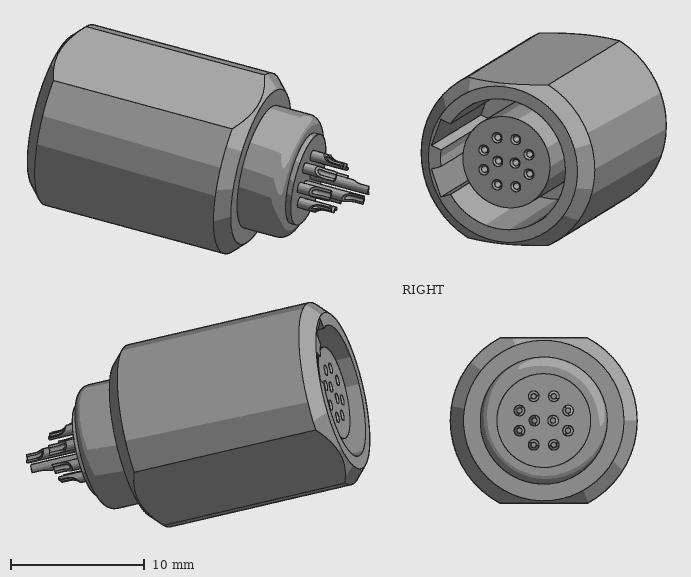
import cadquery as cq
import math

TOTAL_LENGTH = 24.9

SHELL_RADIUS = 7.0
SHELL_LENGTH = 16.4
SHELL_CHAMFER = 1.0
ACROSS_FLATS = 12.4

COLLAR_RADIUS = 4.75
COLLAR_END = 19.82
COLLAR_FILLET = 0.8
DISC_END = 20.25

CAVITY_RADIUS = 5.03
CAVITY_DEPTH = 9.95
INSERT_RADIUS = 3.5
INSERT_RECESS = 0.7

KEYWAY_ANGLE = 20.0
KEYWAY_WIDTH = 2.22
KEYWAY_FLOOR = 5.73

OUTER_COUNT = 8
OUTER_RING_RADIUS = 1.97
INNER_RING_RADIUS = 0.7
OUTER_STEP = 360.0 / OUTER_COUNT
OUTER_ANGLES = [(i + 0.5) * OUTER_STEP for i in range(OUTER_COUNT)]
INNER_ANGLES = [0.0, 180.0]

SOCKET_RADIUS = 0.25
SOCKET_DEPTH = 4.98
SOCKET_MOUTH_RADIUS = 0.4
SOCKET_MOUTH_DEPTH = SOCKET_MOUTH_RADIUS - SOCKET_RADIUS

PIN_RADIUS = 0.4
OUTER_PIN_END = 22.7
CUP_BORE_RADIUS = 0.2
CUP_LENGTH = 1.52
CUP_FLAT_LENGTH = 0.65
CUP_DROP = 0.07


def rod(radius, start, end):
    """Cylinder on the X axis between two X positions."""
    return cq.Workplane("YZ", origin=(start, 0, 0)).circle(radius).extrude(end - start)


def place(shape, ring_radius, angle):
    """Move a shape from the X axis to a ring; angle is measured from +Y towards +Z."""
    return shape.translate((0, ring_radius, 0)).rotate((0, 0, 0), (1, 0, 0), angle)


def make_shell():
    shell = rod(SHELL_RADIUS, 0, SHELL_LENGTH).edges().chamfer(SHELL_CHAMFER)
    flats = cq.Workplane("XY").box(
        SHELL_LENGTH, 2 * SHELL_RADIUS, ACROSS_FLATS, centered=(False, True, True)
    )
    return shell.intersect(flats)


def make_rear():
    collar = rod(COLLAR_RADIUS, CAVITY_DEPTH, COLLAR_END).faces(">X").edges().fillet(COLLAR_FILLET)
    return collar.union(rod(INSERT_RADIUS, CAVITY_DEPTH, DISC_END))


def make_cavity():
    cavity = rod(CAVITY_RADIUS, 0, CAVITY_DEPTH)
    keyway = cq.Workplane("XY").box(
        CAVITY_DEPTH, KEYWAY_FLOOR, KEYWAY_WIDTH, centered=(False, False, True)
    )
    for angle in (-KEYWAY_ANGLE, KEYWAY_ANGLE):
        cavity = cavity.union(place(keyway, 0, angle))
    return cavity.cut(rod(INSERT_RADIUS, INSERT_RECESS, CAVITY_DEPTH))


def make_socket():
    """Countersunk hole to remove from the insert face."""
    mouth_floor = INSERT_RECESS + SOCKET_MOUTH_DEPTH
    hole_floor = INSERT_RECESS + SOCKET_DEPTH
    return (
        cq.Workplane("XY")
        .moveTo(INSERT_RECESS, 0)
        .lineTo(INSERT_RECESS, SOCKET_MOUTH_RADIUS)
        .lineTo(mouth_floor, SOCKET_RADIUS)
        .lineTo(hole_floor, SOCKET_RADIUS)
        .lineTo(hole_floor, 0)
        .close()
        .revolve(360, (0, 0, 0), (1, 0, 0))
    )


def make_pin(end):
    """Pin on the X axis with a solder cup open towards +Y."""
    cut_start = end - CUP_LENGTH
    flat_start = end - CUP_FLAT_LENGTH
    run = flat_start - cut_start
    rise = PIN_RADIUS + CUP_DROP
    arc_radius = (run**2 + rise**2) / (2 * rise)
    half_sweep = math.asin(run / arc_radius) / 2
    arc_middle = (
        flat_start - arc_radius * math.sin(half_sweep),
        -CUP_DROP + arc_radius * (1 - math.cos(half_sweep)),
    )
    opening = (
        cq.Workplane("XY")
        .moveTo(cut_start, PIN_RADIUS)
        .threePointArc(arc_middle, (flat_start, -CUP_DROP))
        .lineTo(end, -CUP_DROP)
        .lineTo(end, PIN_RADIUS)
        .close()
        .extrude(PIN_RADIUS, both=True)
    )
    bore = rod(CUP_BORE_RADIUS, cut_start, end)
    return rod(PIN_RADIUS, COLLAR_END, end).cut(bore).cut(opening)


result = make_shell().cut(make_cavity()).union(make_rear())

contact_rings = [
    (OUTER_RING_RADIUS, OUTER_ANGLES, make_pin(OUTER_PIN_END)),
    (INNER_RING_RADIUS, INNER_ANGLES, make_pin(TOTAL_LENGTH)),
]
socket = make_socket()
for ring_radius, angles, pin in contact_rings:
    for contact_angle in angles:
        result = result.union(place(pin, ring_radius, contact_angle))
        result = result.cut(place(socket, ring_radius, contact_angle))